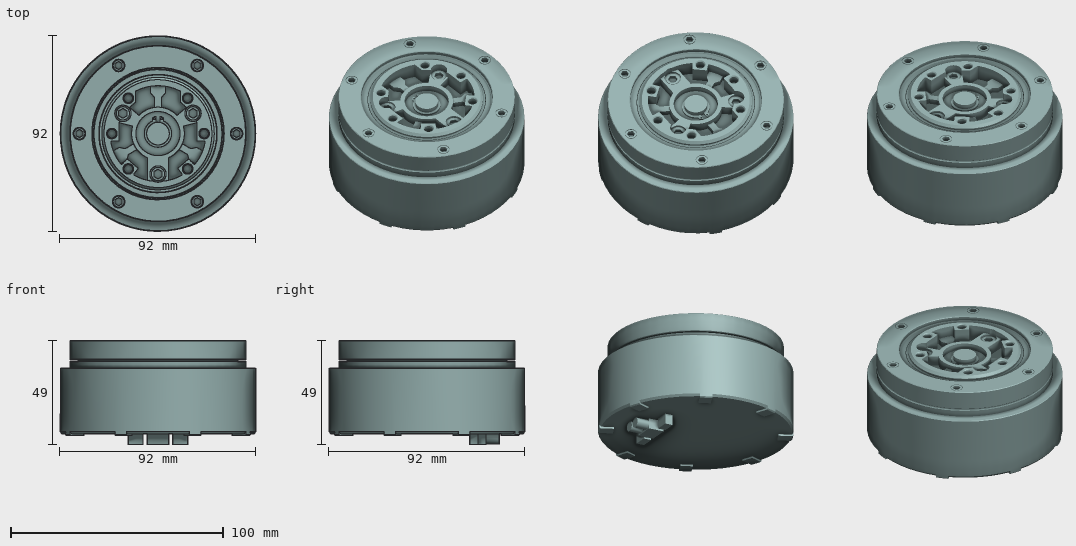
import cadquery as cq
import math

top_z = 49.0
foot_bottom_z = 4.2
rim_bottom_z = 5.1
deck_z = 36.1
groove_bottom_z = 39.1
groove_top_z = 39.9

barrel_radius = 46.0
collar_radius = 41.5
groove_radius = 37.6
mouth_radius = 30.9
ledge_inner_radius = 30.4
seat_outer_radius = 30.1
bore_radius = 27.9
edge_chamfer = 0.3
ledge_depth = 1.8
seat_depth = 2.0

rim_chamfer_width = 0.8
rim_chamfer_height = 1.1
foot_count = 8
foot_width = 5.8
foot_inner_radius = 38.9
foot_chamfer = 0.55

plug_front_y = 20.1
plug_back_y = 27.9
side_plug_back_y = 24.0
power_plug_width = 10.3
side_plug_width = 7.1
side_plug_x = 10.5
lead_radius = 2.4
lead_end_y = 34.0
lead_bottom_z = 0.3

collar_screw_count = 6
collar_screw_circle = 37.0
collar_screw_head_radius = 2.6
collar_screw_hole_radius = 2.9
collar_screw_gap_depth = 0.5
collar_screw_hex_width = 3.3
collar_screw_hex_depth = 2.8

carrier_radius = 27.6
carrier_boss_radius = 26.5
carrier_chamfer = 1.1
opening_radius = 22.5
hub_radius = 12.4
corner_fillet = 0.4
hub_recess_radius = 10.4
arm_depth = 2.9
bridge_depth = 5.2
window_depth = 7.9
recess_depth = 6.2

thread_circle = 21.7
thread_angles = (0, 50, 130, 180, 230, 310)
thread_radius = 2.0
thread_chamfer = 0.5
thread_depth = 4.6

arm_angles = (30, 150, 270)
arm_screw_circle = 19.0
counterbore_radius = 3.9
counterbore_depth = 4.05
arm_screw_head_radius = 3.1
arm_screw_head_height = 0.4
arm_screw_hex_width = 4.0
arm_screw_hex_depth = 1.8

straight_arm_half_width = 5.0
bridge_angles = (90, 210, 330)
bridge_outer_half_width = 3.5
bridge_inner_half_width = 1.6
bridge_taper_outer = 19.0
bridge_taper_inner = 16.9

shaft_radius = 5.3
clip_radius = 6.4
clip_thickness = 0.9
clip_gap = 1.8
clip_ear_width = 1.75
clip_ear_tip_y = 8.0
clip_ear_bevel = 0.9
clip_ear_hole_radius = 0.5
clip_ear_hole_x = 1.7
clip_ear_hole_y = 7.0


def disc(radius, bottom_z, height):
    return cq.Workplane("XY", origin=(0, 0, bottom_z)).circle(radius).extrude(height)


def block(x_min, x_max, y_min, y_max, z_min, z_max):
    size = (x_max - x_min, y_max - y_min, z_max - z_min)
    return cq.Workplane("XY").box(*size, centered=False).translate((x_min, y_min, z_min))


def prism(points, bottom_z, height):
    return cq.Workplane("XY", origin=(0, 0, bottom_z)).polyline(points).close().extrude(height)


def polar(radius, angle):
    turn = math.radians(angle)
    return radius * math.cos(turn), radius * math.sin(turn)


def mirrored(points):
    return [(-x, y) for x, y in points]


def hex_socket(centre, width, opening_z, depth):
    """Hexagonal pocket whose flats face +X and -X."""
    corner_diameter = width / math.cos(math.pi / 6)
    socket = cq.Workplane("XY").polygon(6, corner_diameter).extrude(depth)
    return socket.rotate((0, 0, 0), (0, 0, 1), 30).translate((*centre, opening_z - depth))


def housing_shell():
    ledge_z = top_z - ledge_depth
    seat_z = top_z - seat_depth
    profile = [
        (0, foot_bottom_z),
        (barrel_radius - foot_chamfer, foot_bottom_z),
        (barrel_radius, foot_bottom_z + foot_chamfer),
        (barrel_radius, deck_z - edge_chamfer),
        (barrel_radius - edge_chamfer, deck_z),
        (collar_radius, deck_z),
        (collar_radius, groove_bottom_z),
        (groove_radius, groove_bottom_z),
        (groove_radius, groove_top_z),
        (collar_radius - edge_chamfer, groove_top_z),
        (collar_radius, groove_top_z + edge_chamfer),
        (collar_radius, top_z - edge_chamfer),
        (collar_radius - edge_chamfer, top_z),
        (mouth_radius + edge_chamfer, top_z),
        (mouth_radius, top_z - edge_chamfer),
        (mouth_radius, ledge_z),
        (ledge_inner_radius, ledge_z),
        (seat_outer_radius, seat_z),
        (bore_radius, seat_z),
        (bore_radius, deck_z),
        (0, deck_z),
    ]
    return cq.Workplane("XZ").polyline(profile).close().revolve(360, (0, 0), (0, 1))


def underside_relief():
    """Cutting tool: frees the rim and its bevelled edge around the feet, which stay at full depth."""
    bevel_top_z = rim_bottom_z + rim_chamfer_height
    outside = barrel_radius + 0.9
    profile = [
        (0, foot_bottom_z),
        (0, rim_bottom_z),
        (barrel_radius - rim_chamfer_width, rim_bottom_z),
        (barrel_radius, bevel_top_z),
        (outside, bevel_top_z),
        (outside, foot_bottom_z),
    ]
    relief = cq.Workplane("XZ").polyline(profile).close().revolve(360, (0, 0), (0, 1))
    half_width = foot_width / 2
    foot = block(foot_inner_radius, outside, -half_width, half_width, foot_bottom_z, bevel_top_z)
    pitch = 360 / foot_count
    for index in range(foot_count):
        relief = relief.cut(foot.rotate((0, 0, 0), (0, 0, 1), (index + 0.5) * pitch))
    return relief


def connectors():
    half = power_plug_width / 2
    plugs = block(-half, half, plug_front_y, plug_back_y, 0, rim_bottom_z)
    for x in (-side_plug_x, side_plug_x):
        left, right = x - side_plug_width / 2, x + side_plug_width / 2
        plugs = plugs.add(block(left, right, plug_front_y, side_plug_back_y, 0, rim_bottom_z))
    for x in (lead_radius - half, half - lead_radius):
        lead = cq.Workplane("XZ", origin=(x, lead_end_y, lead_bottom_z + lead_radius)).circle(lead_radius)
        plugs = plugs.add(lead.extrude(lead_end_y - plug_back_y))
    return plugs.combine()


def collar_screws():
    """Cutting tool: a thin gap around each flush screw head, and its hexagonal socket."""
    gap_z = top_z - collar_screw_gap_depth
    tools = cq.Workplane("XY")
    for index in range(collar_screw_count):
        centre = polar(collar_screw_circle, index * 360 / collar_screw_count)
        gap = cq.Workplane("XY").circle(collar_screw_hole_radius).circle(collar_screw_head_radius)
        tools = tools.add(gap.extrude(collar_screw_gap_depth).translate((*centre, gap_z)))
        tools = tools.add(hex_socket(centre, collar_screw_hex_width, top_z, collar_screw_hex_depth))
    return tools.combine()


def make_housing():
    shell = housing_shell().cut(underside_relief())
    return shell.union(connectors()).cut(collar_screws())


def carrier_blank():
    shoulder_z = top_z - seat_depth
    profile = [
        (0, deck_z),
        (carrier_radius, deck_z),
        (carrier_radius, shoulder_z),
        (carrier_boss_radius, shoulder_z),
        (carrier_boss_radius, top_z - carrier_chamfer),
        (carrier_boss_radius - carrier_chamfer, top_z),
        (0, top_z),
    ]
    return cq.Workplane("XZ").polyline(profile).close().revolve(360, (0, 0), (0, 1))


upper_pad_x = 10.6
upper_pad_y = 14.8
upper_arm_corner = (13.3, 12.3)
side_pad_x = 18.3
side_pad_y = -3.6
lower_pad_corners = [(18.8, -16.3), (14.4, -11.9), (9.3, -16.4), (13.4, -21.8)]
lower_arm_corner = (side_pad_x, 5.15)
upper_arm_root = (8.9, 8.6)
lower_arm_root = (12.0, 3.5)


def pads():
    """Full-height regions of the carrier that reach into the round opening."""
    outside = opening_radius + 0.9
    side = [
        (upper_pad_x, outside),
        (upper_pad_x, upper_pad_y),
        upper_arm_corner,
        polar(arm_screw_circle, arm_angles[0]),
        (side_pad_x, lower_arm_corner[1]),
        (side_pad_x, side_pad_y),
        (outside, side_pad_y),
        (outside, outside),
    ]
    height = top_z - deck_z
    regions = prism(side, deck_z, height)
    for points in (mirrored(side), lower_pad_corners, mirrored(lower_pad_corners)):
        regions = regions.add(prism(points, deck_z, height))
    return regions.combine()


def hub_and_arms(height):
    arm = [(0, 0), upper_arm_root, upper_arm_corner, (side_pad_x, 11), lower_arm_corner, lower_arm_root]
    half = straight_arm_half_width
    straight_arm = block(-half, half, -opening_radius - 0.9, 0, deck_z, deck_z + height)
    hub = disc(hub_radius, deck_z, height).union(straight_arm)
    return hub.union(prism(arm, deck_z, height)).union(prism(mirrored(arm), deck_z, height))


def bridges(height):
    """Necked bars across the windows, wide at the rim and narrow at the hub."""
    outside = opening_radius + 0.9
    half = [
        (0, bridge_inner_half_width),
        (bridge_taper_inner, bridge_inner_half_width),
        (bridge_taper_outer, bridge_outer_half_width),
        (outside, bridge_outer_half_width),
    ]
    outline = half + [(x, -y) for x, y in reversed(half)]
    bar = prism(outline, deck_z, height)
    bars = cq.Workplane("XY")
    for angle in bridge_angles:
        bars = bars.add(bar.rotate((0, 0, 0), (0, 0, 1), angle))
    return bars.combine()


def windows():
    """Cutting tool: the opening above the arms, bridges and window floors."""
    opening = disc(opening_radius, top_z - window_depth, window_depth)
    thickness = top_z - deck_z
    opening = opening.cut(pads()).edges("|Z").fillet(corner_fillet)
    opening = opening.cut(hub_and_arms(thickness - arm_depth))
    return opening.cut(bridges(thickness - bridge_depth))


def threaded_holes():
    """Cutting tool: blind holes with a bevelled mouth."""
    profile = [
        (0, top_z),
        (thread_radius + thread_chamfer, top_z),
        (thread_radius, top_z - thread_chamfer),
        (thread_radius, top_z - thread_depth),
        (0, top_z - thread_depth),
    ]
    hole = cq.Workplane("XZ").polyline(profile).close().revolve(360, (0, 0), (0, 1))
    holes = cq.Workplane("XY")
    for angle in thread_angles:
        holes = holes.add(hole.translate((*polar(thread_circle, angle), 0)))
    return holes.combine()


def arm_screws():
    """Cutting tool: a counterbore at each arm with a socket head standing on its floor."""
    floor_z = top_z - counterbore_depth
    head_z = floor_z + arm_screw_head_height
    tools = cq.Workplane("XY")
    for angle in arm_angles:
        centre = polar(arm_screw_circle, angle)
        bore = disc(counterbore_radius, floor_z, counterbore_depth)
        bore = bore.cut(disc(arm_screw_head_radius, floor_z, arm_screw_head_height)).translate((*centre, 0))
        tools = tools.add(bore.union(hex_socket(centre, arm_screw_hex_width, head_z, arm_screw_hex_depth)))
    return tools.combine()


def retaining_ring(bottom_z):
    """Open ring with a drilled ear, bevelled on its outer corner, on each side of the gap."""
    half_gap = clip_gap / 2
    ear_outer_x = half_gap + clip_ear_width
    ear = [
        (half_gap, 0),
        (half_gap, clip_ear_tip_y),
        (ear_outer_x - clip_ear_bevel, clip_ear_tip_y),
        (ear_outer_x, clip_ear_tip_y - clip_ear_bevel),
        (ear_outer_x, 0),
    ]
    ring = disc(clip_radius, bottom_z, clip_thickness)
    for points, hole_x in ((ear, clip_ear_hole_x), (mirrored(ear), -clip_ear_hole_x)):
        hole = disc(clip_ear_hole_radius, bottom_z, clip_thickness).translate((hole_x, clip_ear_hole_y, 0))
        ring = ring.union(prism(points, bottom_z, clip_thickness)).cut(hole)
    return ring.cut(block(-half_gap, half_gap, 0, clip_ear_tip_y, bottom_z, bottom_z + clip_thickness))


def shaft_end():
    floor_z = top_z - recess_depth
    shaft = disc(shaft_radius, floor_z, recess_depth - arm_depth)
    return retaining_ring(floor_z).union(shaft)


def make_carrier():
    recess = disc(hub_recess_radius, top_z - recess_depth, recess_depth)
    carrier = carrier_blank().cut(windows()).cut(recess)
    carrier = carrier.cut(threaded_holes()).cut(arm_screws())
    return carrier.union(shaft_end())


housing = make_housing()
carrier = make_carrier()
result = cq.Compound.makeCompound([housing.val(), carrier.val()])